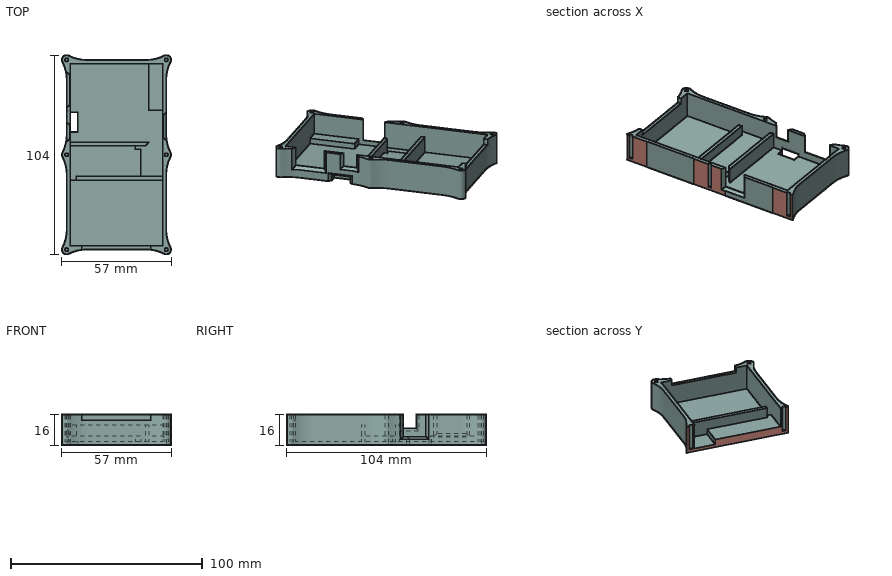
import cadquery as cq
import math

height = 16.0
boss_radius = 2.5
length = 104.0
width = 57.0
half_width = width / 2 - boss_radius
half_length = length / 2 - boss_radius
wall = 2.0
floor = 2.0
screw_diameter = 1.8
blend_radius = 20.0
inner_x = half_width - wall
inner_y = half_length - wall

ledge_top = 4.9
corner_ledge_x = 17.0
corner_ledge_y = 23.1
partition_top = 10.5
north_partition_y = (4.6, 6.5)
north_partition_tip = (15.1, 16.8)
south_partition_y = (-13.2, -11.2)
south_partition_start = -21.0
plate_end = 12.6
plate_corner = (9.9, 2.9)

lip = 0.3
front_notch_width = 36.0
front_notch_depth = 3.1
floor_slot_end = -20.3
port_y = (26.1, 41.8)
port_z = (6.1, height)
notch_y = (8.2, 15.6)
notch_z = (8.8, height)
slot_y = (12.0, 22.0)
slot_z = (0, 3.3)
right_y = (8.8, 20.6)
right_z = (4.5, height)
wide_chamfer = 1.7
small_chamfer = 1.4
port_end_chamfer = 1.1


def block(x_range, y_range, z_range):
    """Axis-aligned box given by its ranges."""
    return (
        cq.Workplane("XY")
        .box(x_range[1] - x_range[0], y_range[1] - y_range[0], z_range[1] - z_range[0], centered=False)
        .translate((x_range[0], y_range[0], z_range[0]))
    )


def prism(points, bottom, top):
    """Vertical prism over a plan outline."""
    return cq.Workplane("XY").workplane(offset=bottom).polyline(points).close().extrude(top - bottom)


def flare():
    """Web on one side of a boss at the origin, blending tangentially into a wall along +X."""
    run = math.sqrt((blend_radius + boss_radius) ** 2 - blend_radius**2)
    share = boss_radius / (blend_radius + boss_radius)
    tangent = (run * share, blend_radius * share)
    middle_angle = (math.pi / 2 + math.atan2(blend_radius, run)) / 2
    middle = (
        run - blend_radius * math.cos(middle_angle),
        blend_radius - blend_radius * math.sin(middle_angle),
    )
    return (
        cq.Workplane("XY")
        .moveTo(0, -wall / 2)
        .lineTo(0, 0)
        .lineTo(*tangent)
        .threePointArc(middle, (run, 0))
        .lineTo(run, -wall / 2)
        .close()
        .extrude(height)
    )


def outer_body():
    body = cq.Workplane("XY").box(2 * half_width, 2 * half_length, height, centered=(True, True, False))
    side_web = flare().rotate((0, 0, 0), (0, 0, 1), -90)
    end_web = flare().mirror("YZ")
    boss = cq.Workplane("XY").circle(boss_radius).extrude(height)
    quarter = boss.union(side_web).union(end_web).translate((half_width, half_length, 0))
    middle = boss.union(side_web).translate((half_width, 0, 0))
    quarter = quarter.union(middle)
    half = quarter.union(quarter.mirror("XZ"))
    return body.union(half).union(half.mirror("YZ"))


def add_interior(body):
    body = body.cut(block((-inner_x, inner_x), (-inner_y, inner_y), (floor, height)))
    corner_ledge = block((corner_ledge_x, inner_x), (corner_ledge_y, inner_y), (0, ledge_top))
    south, north = north_partition_y
    north_partition = prism(
        [(-inner_x, south), (north_partition_tip[0], south), (north_partition_tip[1], north), (-inner_x, north)],
        0,
        partition_top,
    )
    south_partition = block((south_partition_start, inner_x), south_partition_y, (0, partition_top))
    plate = prism(
        [
            (-inner_x, south_partition_y[0]),
            (plate_end, south_partition_y[0]),
            (plate_end, plate_corner[1]),
            plate_corner,
            (plate_corner[0], south),
            (-inner_x, south),
        ],
        0,
        ledge_top,
    )
    return body.union(corner_ledge).union(north_partition).union(south_partition).union(plate)


def flared_opening(side, y_range, z_range, chamfer_low, chamfer_high, chamfer_z=(0, 0)):
    """Straight opening through the lip of a side wall, widening outwards from it.

    The chamfer values are how far each edge has spread at the outer wall face.
    """
    lip_x = inner_x + lip
    reach = 2
    outer_x = lip_x + reach * (half_width - lip_x)

    def section(x, spread):
        y0 = y_range[0] - spread * chamfer_low
        y1 = y_range[1] + spread * chamfer_high
        z0 = z_range[0] - spread * chamfer_z[0]
        z1 = z_range[1] + spread * chamfer_z[1]
        corners = [(y0, z0), (y1, z0), (y1, z1), (y0, z1)]
        return cq.Wire.makePolygon([cq.Vector(side * x, y, z) for y, z in corners], close=True)

    funnel = cq.Solid.makeLoft([section(lip_x, 0), section(outer_x, reach)], True)
    x_range = sorted((side * inner_x, side * lip_x))
    return block(x_range, y_range, z_range).union(cq.Workplane(obj=funnel))


def cut_openings(body):
    left_openings = [
        flared_opening(-1, port_y, port_z, wide_chamfer, port_end_chamfer, (wide_chamfer, 0)),
        flared_opening(-1, notch_y, notch_z, small_chamfer, small_chamfer, (small_chamfer, 0)),
        flared_opening(-1, slot_y, slot_z, wide_chamfer, small_chamfer, (0, small_chamfer)),
    ]
    right_opening = flared_opening(1, right_y, right_z, small_chamfer, small_chamfer, (small_chamfer, 0))
    floor_slot = block((-inner_x, floor_slot_end), slot_y, slot_z)
    front_notch = block(
        (-front_notch_width / 2, front_notch_width / 2),
        (-length / 2, -inner_y),
        (height - front_notch_depth, height),
    )
    for opening in left_openings + [right_opening, floor_slot, front_notch]:
        body = body.cut(opening)
    return body


def drill_screw_holes(body):
    centres = [(x, y) for x in (-half_width, half_width) for y in (-half_length, 0, half_length)]
    plane = cq.Workplane("XY").workplane(offset=floor)
    holes = plane.pushPoints(centres).circle(screw_diameter / 2).extrude(height - floor)
    return body.cut(holes)


result = drill_screw_holes(cut_openings(add_interior(outer_body())))